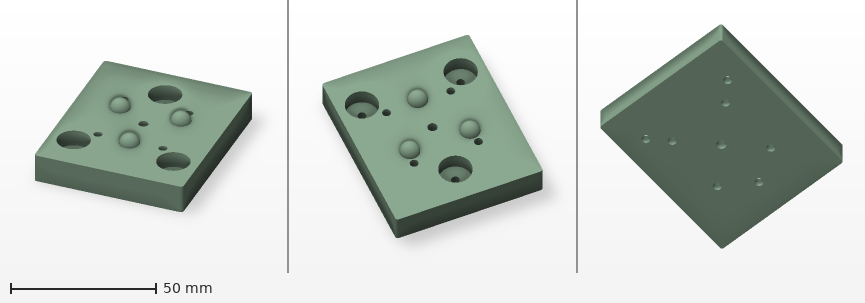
import cadquery as cq
import math

plate_width = 55.0
plate_length = 65.0
total_height = 14.0
ball_radius = 3.6
plate_height = total_height - ball_radius
corner_size = 1.0

counterbore_diameter = 11.8
counterbore_depth = 6.0
mount_hole_diameter = 3.0
mount_back_y = 20.0
mount_front_offset = 18.45
mount_points = [
    (0, mount_back_y),
    (-mount_front_offset, -mount_front_offset),
    (mount_front_offset, -mount_front_offset),
]

pattern_spacing = 24.05
pattern_hole_diameter = 3.05
center_hole_diameter = 3.5

ball_count = 3
ball_circle_radius = 13.0
first_ball_angle = -90.0


def make_plate():
    """Plate standing on Z = 0 with eased vertical corners."""
    plate = cq.Workplane("XY").box(
        plate_width, plate_length, plate_height, centered=(True, True, False)
    )
    return plate.edges("|Z").fillet(corner_size)


def drill_holes(plate):
    """Cut the mounting holes, the square pattern and the central hole."""
    top = plate.faces(">Z").workplane(origin=(0, 0, plate_height))
    drilled = top.pushPoints(mount_points).cboreHole(
        mount_hole_diameter, counterbore_diameter, counterbore_depth
    )
    top = drilled.faces(">Z").workplane(origin=(0, 0, plate_height))
    drilled = top.rect(pattern_spacing, pattern_spacing, forConstruction=True).vertices().hole(
        pattern_hole_diameter
    )
    top = drilled.faces(">Z").workplane(origin=(0, 0, plate_height))
    return top.hole(center_hole_diameter)


def add_balls(plate):
    """Add balls centred on the top face, so that half of each stands proud."""
    for index in range(ball_count):
        angle = math.radians(first_ball_angle + index * 360.0 / ball_count)
        center = (
            ball_circle_radius * math.cos(angle),
            ball_circle_radius * math.sin(angle),
            plate_height,
        )
        plate = plate.union(cq.Workplane("XY").sphere(ball_radius).translate(center))
    return plate


result = add_balls(drill_holes(make_plate()))